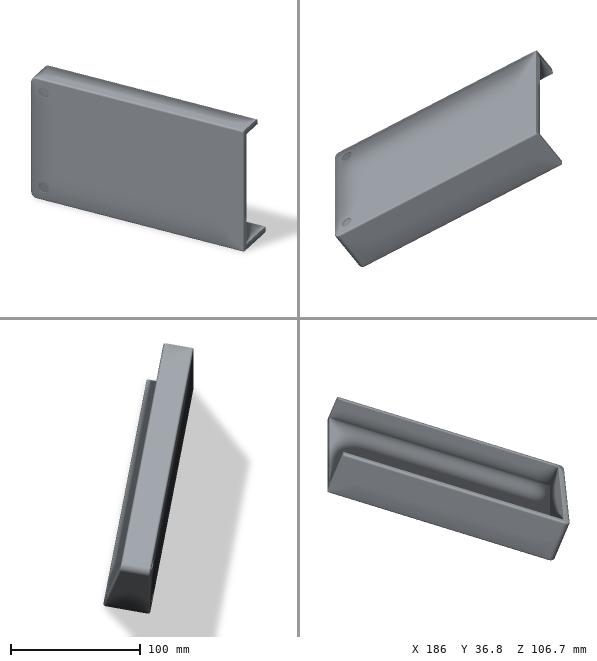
import cadquery as cq

length = 186.0
height = 106.7
depth_top = 23.0
depth_bottom = 37.0

wall = 5.0

corner_radius = 5.0
rim_radius = 1.5
top_back_radius = 2.6
opening_radius = 0.5

foot_diameter = 8.7
foot_inset = 11.5
foot_recess_depth = 0.5


def wedge():
    """Prism along X whose back face leans towards the front at the top."""
    profile = [(0, 0), (depth_bottom, 0), (depth_top, height), (0, height)]
    return cq.Workplane("YZ").polyline(profile).close().extrude(length)


def rounded_wedge():
    """Wedge with rounded -X corners and rims; its +X end stays sharp."""
    body = wedge().faces("<X").edges("<Z or >Z").fillet(corner_radius)
    for rim_side in ("<Y", ">Y"):
        body = body.faces(rim_side).edges("not >X").fillet(rim_radius)
    top_rounded = wedge().edges("|X").edges(">Z").edges(">Y").fillet(top_back_radius)
    return body.intersect(top_rounded)


def cavity():
    """Space inside the walls, running out through the back and the +X end."""
    inner_height = height - 2 * wall
    space = cq.Workplane("XY").box(length, depth_bottom, inner_height, centered=False)
    return space.translate((wall, wall, wall))


def opening_edges():
    """Selector for the inner edges of the sloping rim."""
    margin = 0.2
    low_corner = (wall - margin, depth_top, wall - margin)
    high_corner = (length - margin, depth_bottom, height - wall + margin)
    return cq.selectors.BoxSelector(low_corner, high_corner)


def foot_recess(z):
    """Disc to remove from the front face at height z."""
    disc = cq.Workplane("XZ").center(foot_inset, z).circle(foot_diameter / 2)
    return disc.extrude(-foot_recess_depth)


shell = rounded_wedge().cut(cavity())
result = shell.edges(opening_edges()).fillet(opening_radius)
for foot_height in (foot_inset, height - foot_inset):
    result = result.cut(foot_recess(foot_height))